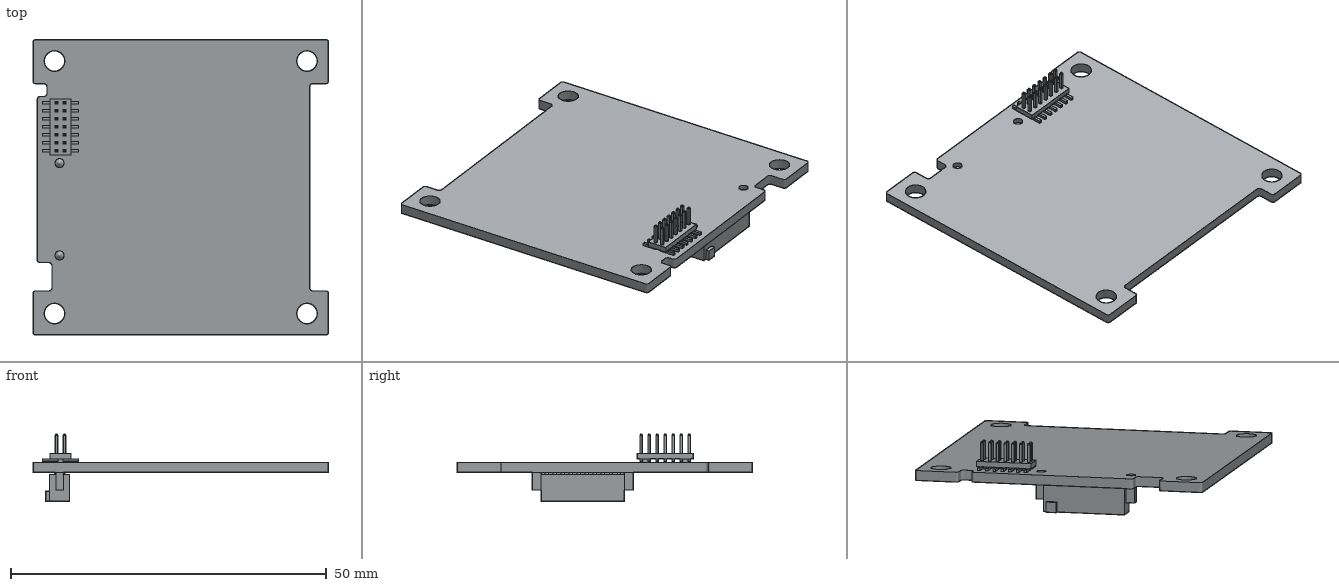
import cadquery as cq

board_size = 46.8
board_half = board_size / 2
board_thickness = 1.6
ear_radius = 0.4
notch_radius = 0.5
mount_hole_dia = 3.2
mount_hole_spacing = 40.0

notch_y = 16.4
right_edge_x = 20.45
left_edge_x = -22.75
upper_notch_x = -21.2
upper_notch_end_y = 14.4
lower_notch_x = -20.4
lower_notch_end_y = -11.95

header_x = -19.05
header_y = 9.58
pin_pitch = 1.27
pin_rows = 7
pin_width = 0.41
pin_top_z = 6.07
pin_tip_height = 0.2
pin_tip_inset = 0.12
lead_span = 5.75
lead_gap = 0.15
header_width = 3.35
header_length = pin_pitch * pin_rows
header_bottom_z = board_thickness + lead_gap + pin_width
header_height = 0.85
header_peg_dia = 1.02
header_peg_spacing = pin_pitch * (pin_rows - 2)

socket_x = -19.2
socket_y = -3.48
socket_width = 3.2
socket_length = 13.2
socket_top_z = -0.3
socket_bottom_z = -4.6
socket_height = socket_top_z - socket_bottom_z
key_depth = 0.6
key_length = 1.65
key_height = 1.65
key_offset_y = 5.2

contact_count = 10
contact_pitch = 1.27
contact_width = 0.5
contact_span = 1.65
contact_depth = 1.0
strip_width = 1.25
strip_end_gap = 0.05
strip_length = socket_length - 2 * strip_end_gap

peg_dia = 1.42
peg_spacing = socket_length + peg_dia
lug_width = 1.2
lug_height = 2.8
peg_cone_height = 0.5
peg_tip_z = 1.3


def box(x_size, y_size, z_size, x, y, bottom_z):
    """Box centred on (x, y) that stands on bottom_z."""
    block = cq.Workplane("XY").box(x_size, y_size, z_size, centered=(True, True, False))
    return block.translate((x, y, bottom_z))


def cylinder(diameter, height, x, y, bottom_z):
    """Upright cylinder centred on (x, y) that stands on bottom_z."""
    return cq.Workplane("XY").circle(diameter / 2).extrude(height).translate((x, y, bottom_z))


header_peg_points = [(header_x, header_y + side * header_peg_spacing / 2) for side in (-1, 1)]
socket_peg_points = [(socket_x, socket_y + side * peg_spacing / 2) for side in (-1, 1)]


def make_board():
    outline = [
        (-board_half, board_half),
        (board_half, board_half),
        (board_half, notch_y),
        (right_edge_x, notch_y),
        (right_edge_x, -notch_y),
        (board_half, -notch_y),
        (board_half, -board_half),
        (-board_half, -board_half),
        (-board_half, -notch_y),
        (lower_notch_x, -notch_y),
        (lower_notch_x, lower_notch_end_y),
        (left_edge_x, lower_notch_end_y),
        (left_edge_x, upper_notch_end_y),
        (upper_notch_x, upper_notch_end_y),
        (upper_notch_x, notch_y),
        (-board_half, notch_y),
    ]
    board = cq.Workplane("XY").polyline(outline).close().extrude(board_thickness)
    board = board.faces("<X or >X").edges("|Z").fillet(ear_radius)
    notch_region = cq.selectors.BoxSelector(
        (left_edge_x - notch_radius, -notch_y - notch_radius, 0),
        (right_edge_x + notch_radius, notch_y + notch_radius, board_thickness),
    )
    board = board.edges("|Z").edges(notch_region).fillet(notch_radius)
    mount_holes = (
        cq.Workplane("XY")
        .rect(mount_hole_spacing, mount_hole_spacing, forConstruction=True)
        .vertices()
        .circle(mount_hole_dia / 2)
        .extrude(board_thickness)
    )
    peg_holes = cq.Workplane("XY").pushPoints(socket_peg_points).circle(peg_dia / 2).extrude(board_thickness)
    return board.cut(mount_holes).cut(peg_holes)


def make_pin(column_side, y):
    """Square post with a chamfered tip and a flat lead bent outward."""
    x = header_x + column_side * pin_pitch / 2
    lead_z = board_thickness + lead_gap
    post = box(pin_width, pin_width, pin_top_z - lead_z, x, y, lead_z)
    post = post.faces(">Z").edges().chamfer(pin_tip_height, pin_tip_inset)
    lead_end_x = header_x + column_side * lead_span / 2
    lead = box(abs(lead_end_x - x), pin_width, pin_width, (lead_end_x + x) / 2, y, lead_z)
    return post.union(lead)


def make_header():
    header = box(header_width, header_length, header_height, header_x, header_y, header_bottom_z)
    for x, y in header_peg_points:
        standoff = header_bottom_z - board_thickness
        header = header.union(cylinder(header_peg_dia, standoff, x, y, board_thickness))
    for row in range(pin_rows):
        y = header_y + (row - (pin_rows - 1) / 2) * pin_pitch
        for column_side in (-1, 1):
            header = header.union(make_pin(column_side, y))
    return header


def make_contact_strip():
    strip = box(strip_width, strip_length, -socket_top_z, socket_x, socket_y, socket_top_z)
    contact_height = contact_depth - socket_top_z
    for index in range(contact_count):
        y = socket_y + (index - (contact_count - 1) / 2) * contact_pitch
        contact = box(contact_span, contact_width, contact_height, socket_x, y, -contact_height)
        strip = strip.union(contact)
    return strip


def make_socket():
    housing = box(socket_width, socket_length, socket_height, socket_x, socket_y, socket_bottom_z)
    key_x = socket_x - (socket_width + key_depth) / 2
    key = box(key_depth, key_length, key_height, key_x, socket_y + key_offset_y, socket_bottom_z)
    return housing.union(key).cut(make_contact_strip())


def make_locating_peg(x, y):
    """Lug against the socket end, with a cone-tipped peg that fills the board hole."""
    lug = box(lug_width, peg_dia, lug_height, x, y, -lug_height)
    shoulder_z = peg_tip_z - peg_cone_height
    peg = (
        cq.Workplane("XZ")
        .polyline([(0, 0), (peg_dia / 2, 0), (peg_dia / 2, shoulder_z), (0, peg_tip_z)])
        .close()
        .revolve(360, (0, 0), (0, 1))
        .translate((x, y, 0))
    )
    return lug.union(peg)


board = make_board()
header = make_header()
socket = make_socket()
contact_strip = make_contact_strip()
locating_pegs = [make_locating_peg(x, y) for x, y in socket_peg_points]

result = cq.Compound.makeCompound([
    board.val(),
    header.val(),
    socket.val(),
    contact_strip.val(),
    *[peg.val() for peg in locating_pegs],
])